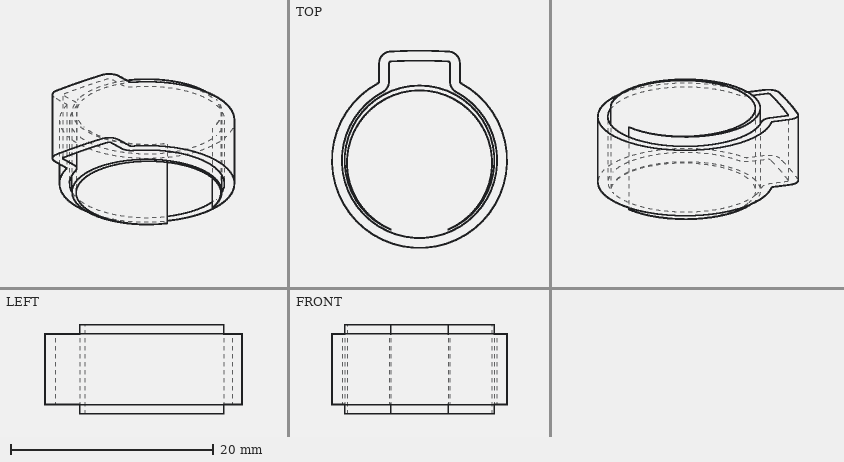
import cadquery as cq
import math

band_outer_radius = 8.65
band_thickness = 1.0
band_width = 7.0
ear_half_width = 4.0
ear_top = 10.84
ear_crown_radius = 50.0
bend_inside_radius = 0.2
bend_outside_radius = bend_inside_radius + band_thickness

strip_outer_radius = 7.4
strip_max_thickness = 0.5
strip_width = 8.8
strip_gap_half_angle = 22.5


def band_solid(inset, corner_radius, root_radius):
    """Solid bounded by the band's outer face moved inwards by inset, centred on Z = 0."""
    half_width = ear_half_width - inset
    crown = ear_top - inset
    crown_radius = ear_crown_radius - inset
    crown_drop = crown_radius - math.sqrt(crown_radius**2 - half_width**2)
    shoulder = crown - crown_drop

    ring = cq.Workplane("XY").circle(band_outer_radius - inset).extrude(band_width / 2, both=True)
    ear = (
        cq.Workplane("XY")
        .moveTo(-half_width, 0)
        .lineTo(half_width, 0)
        .lineTo(half_width, shoulder)
        .threePointArc((0, crown), (-half_width, shoulder))
        .close()
        .extrude(band_width / 2, both=True)
    )
    body = ring.union(ear)

    ear_middle = (crown + band_outer_radius - inset) / 2
    corner_edges = cq.selectors.BoxSelector(
        (-band_outer_radius, ear_middle, -band_width),
        (band_outer_radius, ear_top + band_thickness, band_width),
    )
    root_edges = cq.selectors.BoxSelector(
        (-ear_half_width - band_thickness, band_thickness, -band_width),
        (ear_half_width + band_thickness, ear_middle, band_width),
    )
    body = body.edges("|Z").edges(root_edges).fillet(root_radius)
    return body.edges("|Z").edges(corner_edges).fillet(corner_radius)


def make_clamp_band():
    """Band of constant thickness; each bend has concentric inner and outer rounds."""
    outside = band_solid(0, bend_outside_radius, bend_inside_radius)
    inside = band_solid(band_thickness, bend_inside_radius, bend_outside_radius)
    return outside.cut(inside).solids()


def make_insert_strip():
    """Crescent between two circles that touch at -Y, opened by a wedge there."""
    bore_offset = strip_max_thickness / 2
    bore_radius = strip_outer_radius - bore_offset
    gap_depth = 2 * strip_outer_radius
    gap_half_width = gap_depth * math.tan(math.radians(strip_gap_half_angle))

    disc = cq.Workplane("XY").circle(strip_outer_radius).extrude(strip_width / 2, both=True)
    gap = (
        cq.Workplane("XY")
        .polyline([(0, 0), (-gap_half_width, -gap_depth), (gap_half_width, -gap_depth)])
        .close()
        .extrude(strip_width / 2, both=True)
    )
    bore = (
        cq.Workplane("XY")
        .center(0, -bore_offset)
        .circle(bore_radius)
        .extrude(strip_width / 2, both=True)
    )
    return disc.cut(gap).cut(bore).solids()


clamp_band = make_clamp_band()
insert_strip = make_insert_strip()

result = cq.Compound.makeCompound([clamp_band.val(), insert_strip.val()])